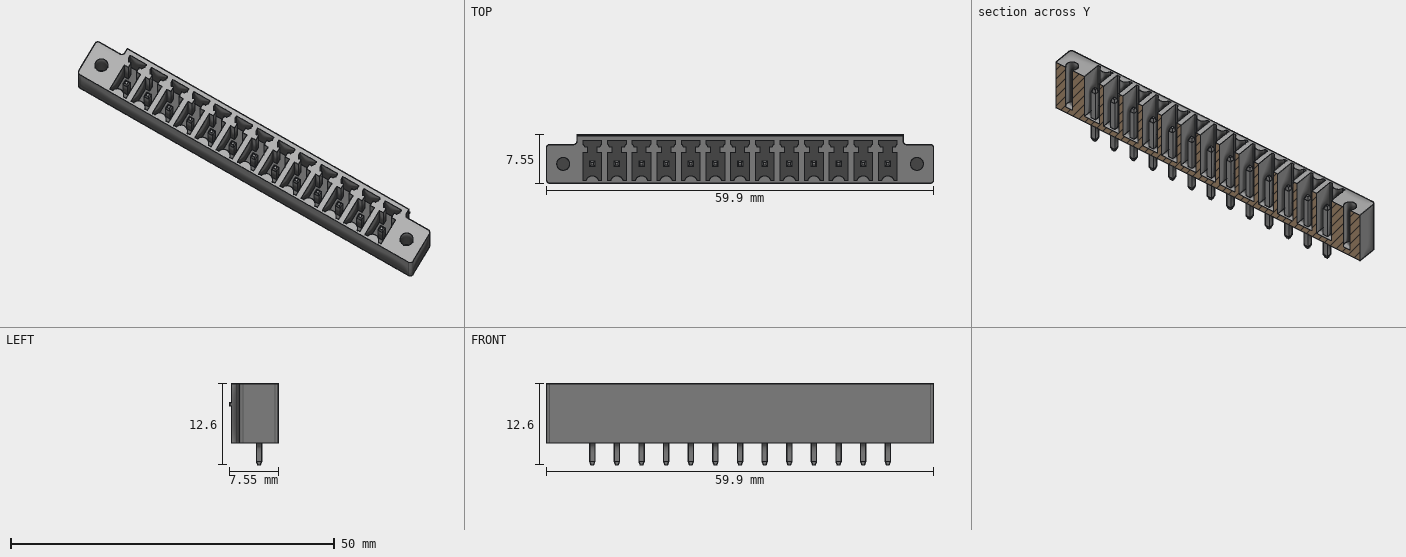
import cadquery as cq


pole_count = 13
pitch = 3.81
axis_y = 3.0

length = 59.92
height = 9.2
depth = 7.3
raised_length = 50.5
flange_depth = 6.0
corner_radius = 0.5

rib_projection = 0.25
rib_height = 0.55
rib_center_z = 6.0

screw_diameter = 2.0
screw_end_distance = 2.6
screw_span = length - 2 * screw_end_distance

floor_thickness = 1.2
cavity_depth = height - floor_thickness
cavity_width = 2.9
cavity_front_y = 0.4
cavity_shoulder_y = 4.8
neck_width = 1.45
neck_end_y = 5.65
taper_width = 2.3
taper_end_y = 6.1
cavity_rear_y = 6.6
key_radius = 1.0
key_center_y = 0.15

pin_width = 0.85
pin_below_board = 3.4
pin_top_gap = 2.2
pin_tip_length = 0.6
pin_tip_inset = 0.22
pin_bottom_z = -pin_below_board
pin_top_z = height - pin_top_gap

pole_positions = [((i - (pole_count - 1) / 2) * pitch, 0) for i in range(pole_count)]


def make_housing():
    """Solid block with a raised rear middle, rounded corners and a rear rib."""
    flanges = cq.Workplane("XY").box(length, flange_depth, height, centered=(True, False, False))
    middle = cq.Workplane("XY").box(raised_length, depth, height, centered=(True, False, False))
    block = flanges.union(middle)

    block = block.edges("|Z and (not >Y)").fillet(corner_radius)

    rib = (
        cq.Workplane("XY")
        .box(raised_length, rib_projection, rib_height, centered=(True, False, True))
        .translate((0, depth, rib_center_z))
    )
    return block.union(rib)


def make_cavity():
    """Keyed pocket for one pole, narrowed by a neck and flared at the rear."""
    right_side = [
        (cavity_width / 2, cavity_front_y),
        (cavity_width / 2, cavity_shoulder_y),
        (neck_width / 2, cavity_shoulder_y),
        (neck_width / 2, neck_end_y),
        (taper_width / 2, neck_end_y),
        (cavity_width / 2, taper_end_y),
        (cavity_width / 2, cavity_rear_y),
    ]
    left_side = [(-x, y) for x, y in reversed(right_side)]
    base = cq.Workplane("XY").workplane(offset=floor_thickness)
    pocket = base.polyline(right_side + left_side).close().extrude(cavity_depth)
    key = base.center(0, key_center_y).circle(key_radius).extrude(cavity_depth)
    return pocket.cut(key)


def make_pin():
    """Square pin with tapered tips, running through the housing floor."""
    shank_bottom = pin_bottom_z + pin_tip_length
    shank_top = pin_top_z - pin_tip_length
    tip_width = pin_width - 2 * pin_tip_inset

    def tip(start_z, end_z):
        return (
            cq.Workplane("XY")
            .workplane(offset=start_z)
            .rect(pin_width, pin_width)
            .workplane(offset=end_z - start_z)
            .rect(tip_width, tip_width)
            .loft(ruled=True)
        )

    shank = (
        cq.Workplane("XY")
        .workplane(offset=shank_bottom)
        .rect(pin_width, pin_width)
        .extrude(shank_top - shank_bottom)
    )
    pin = shank.union(tip(shank_bottom, pin_bottom_z)).union(tip(shank_top, pin_top_z))
    return pin.translate((0, axis_y, 0))


def at_each_pole(shape):
    """Copies of a shape, one at every pole of the row."""
    solid = shape.val()
    row = cq.Workplane("XY").pushPoints(pole_positions)
    return row.eachpoint(lambda place: solid.moved(place), combine=False)


def make_screw_holes():
    """Blind holes in the two flanges, as deep as the pole cavities."""
    return (
        cq.Workplane("XY")
        .workplane(offset=floor_thickness)
        .pushPoints([(-screw_span / 2, axis_y), (screw_span / 2, axis_y)])
        .circle(screw_diameter / 2)
        .extrude(cavity_depth)
    )


housing = make_housing().cut(at_each_pole(make_cavity())).cut(make_screw_holes())
result = housing.union(at_each_pole(make_pin()))